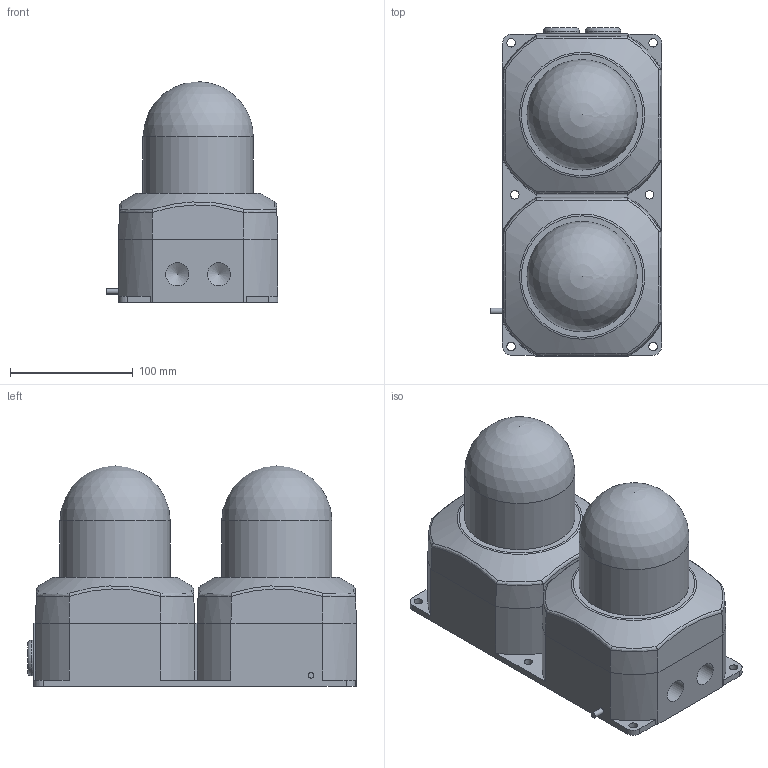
import cadquery as cq
import math


plate_width = 130.0
plate_length = 262.0
plate_thickness = 5.0
plate_corner_radius = 7.5
screw_hole_diameter = 7.0
corner_screw_inset = 7.0
middle_screw_x = 55.0

beacon_pitch = 132.0
beacon_row_offset = -1.0
housing_half_width = 65.0
flat_half_length = 37.4
base_height = 51.5
cover_draft = 2.0
roof_height = 89.0
roof_rim_radius = 50.4
roof_slope = 30.0
edge_fillet = 3.0

lens_radius = 45.0
lens_top = 180.0

back_wall_y = 131.5
entry_x = 17.0
entry_height = 23.0
entry_diameter = 19.0
entry_depth = 20.0
entry_tip_angle = 118.0
plug_diameter = 29.0
plug_length = 4.9
plug_fillet = 3.0

pin_diameter = 4.6
pin_length = 10.0
pin_height = 9.0
pin_offset_y = -28.0

corner_radius = math.hypot(housing_half_width, flat_half_length)
half_pitch = beacon_pitch / 2
beacon_ys = [beacon_row_offset - half_pitch, beacon_row_offset + half_pitch]
front_wall_y = beacon_ys[0] - housing_half_width


def make_plate():
    plate = cq.Workplane("XY").box(
        plate_width, plate_length, plate_thickness, centered=(True, True, False)
    )
    return plate.edges("|Z").fillet(plate_corner_radius)


def screw_points():
    corner_x = plate_width / 2 - corner_screw_inset
    corner_y = plate_length / 2 - corner_screw_inset
    points = [(side * middle_screw_x, 0) for side in (-1, 1)]
    for side in (-1, 1):
        points += [(side * corner_x, -corner_y), (side * corner_x, corner_y)]
    return points


def make_base():
    """Lower housing of one beacon, with upright walls."""
    square = cq.Workplane("XY").rect(2 * housing_half_width, 2 * housing_half_width)
    round_bar = cq.Workplane("XY").circle(corner_radius).extrude(base_height)
    return square.extrude(base_height).intersect(round_bar)


def make_cover():
    """Upper housing of one beacon, with drafted walls under a conical roof."""
    cover_height = roof_height - base_height
    draft_shift = math.tan(math.radians(cover_draft))
    roof_fall = math.tan(math.radians(roof_slope))
    roof_fall_at_base_radius = roof_fall * (corner_radius - roof_rim_radius)
    eave_rise = (cover_height - roof_fall_at_base_radius) / (1 - roof_fall * draft_shift)
    eave_radius = corner_radius - draft_shift * eave_rise

    turned = (
        cq.Workplane("XZ")
        .moveTo(0, base_height)
        .lineTo(corner_radius, base_height)
        .lineTo(eave_radius, base_height + eave_rise)
        .lineTo(roof_rim_radius, roof_height)
        .lineTo(0, roof_height)
        .close()
        .revolve(360, (0, 0), (0, 1))
    )
    square = (
        cq.Workplane("XY", origin=(0, 0, base_height))
        .rect(2 * housing_half_width, 2 * housing_half_width)
        .extrude(cover_height, taper=cover_draft)
    )
    cover = turned.intersect(square)
    return cover.faces("%CONE").faces(">Z").edges().fillet(edge_fillet)


def make_lens():
    shoulder = lens_top - lens_radius
    cylinder = (
        cq.Workplane("XY", origin=(0, 0, roof_height))
        .circle(lens_radius)
        .extrude(shoulder - roof_height)
    )
    dome = cq.Workplane("XY", origin=(0, 0, shoulder)).sphere(lens_radius)
    return cylinder.union(dome)


def make_beacon():
    return make_base().union(make_cover()).union(make_lens())


def make_end_walls():
    """Block through both bases that bridges the gap between them and forms the end walls."""
    return cq.Workplane("XY", origin=(0, front_wall_y, 0)).box(
        2 * flat_half_length, back_wall_y - front_wall_y, base_height, centered=(True, False, False)
    )


def make_plug(x):
    plug = (
        cq.Workplane("XZ", origin=(x, back_wall_y, entry_height))
        .circle(plug_diameter / 2)
        .extrude(-plug_length)
    )
    return plug.faces(">Y").edges().fillet(plug_fillet)


def make_entry(x):
    """Blind cable entry with a drill-point bottom, bored from the -Y wall."""
    radius = entry_diameter / 2
    tip_depth = radius / math.tan(math.radians(entry_tip_angle / 2))
    return (
        cq.Workplane("XY", origin=(x, front_wall_y, entry_height))
        .lineTo(radius, 0)
        .lineTo(radius, entry_depth)
        .lineTo(0, entry_depth + tip_depth)
        .close()
        .revolve(360, (0, 0), (0, 1))
    )


def make_pin():
    return (
        cq.Workplane("YZ", origin=(-housing_half_width, beacon_ys[0] + pin_offset_y, pin_height))
        .circle(pin_diameter / 2)
        .extrude(-pin_length)
    )


def make_screw_holes():
    return (
        cq.Workplane("XY")
        .pushPoints(screw_points())
        .circle(screw_hole_diameter / 2)
        .extrude(plate_thickness)
    )


result = make_plate().union(make_end_walls())
beacon = make_beacon()
for beacon_y in beacon_ys:
    result = result.union(beacon.translate((0, beacon_y, 0)))
result = result.union(make_pin())
for side_x in (-entry_x, entry_x):
    result = result.union(make_plug(side_x)).cut(make_entry(side_x))
result = result.cut(make_screw_holes())